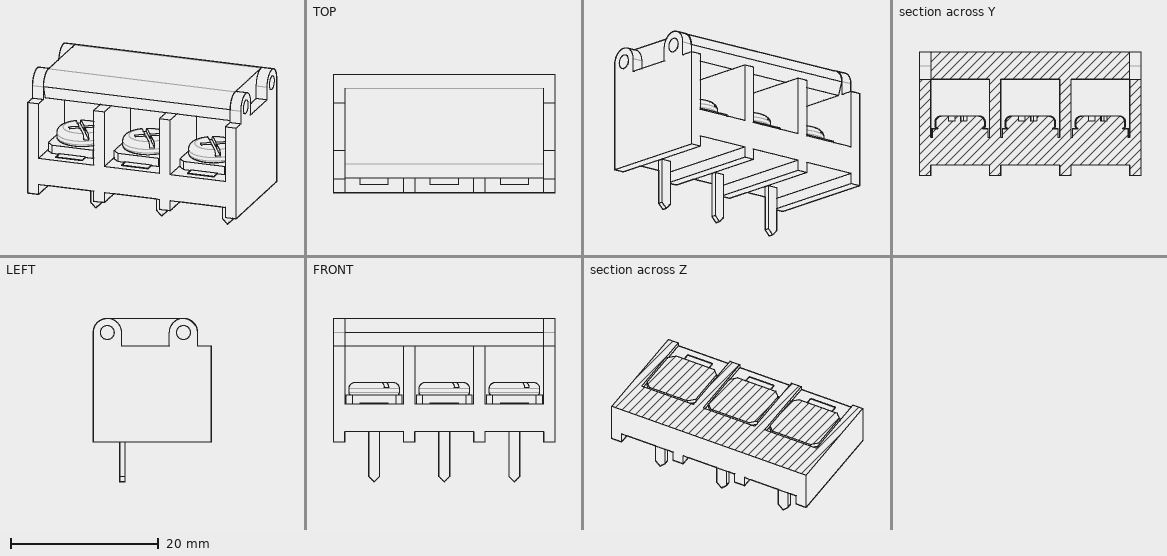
import cadquery as cq
import math


length = 30
depth = 16.0
shoulder_height = 13.02
overall_height = 16.75
pole_count = 3
wall_thickness = 1.55
pole_pitch = (length - wall_thickness) / pole_count
bay_width = pole_pitch - wall_thickness
foot_height = 1.45
floor_height = 5.2

lug_radius = 1.92
lug_hole_diameter = 1.9
lug_axis_z = overall_height - lug_radius
lug_shoulder = 1.85
front_lug_y = lug_shoulder + lug_radius
rear_lug_y = depth - lug_radius

cover_length = length - 2 * wall_thickness
cover_setback = 0.12
cover_front_y = lug_shoulder + cover_setback
cover_lip_undercut = 0.63

plate_size = 7.55
plate_thickness = 1.17
plate_corner = 0.85
plate_front_y = 2.52
plate_gap = (bay_width - plate_size) / 2
plate_center_y = plate_front_y + plate_size / 2
plate_top = floor_height + plate_thickness
bay_depth = plate_front_y + plate_size + plate_gap

tab_width = 3.8
tab_front_y = 1.15
tab_rise = 0.1

head_diameter = 6.85
head_height = 1.7
head_top_round = 0.85
head_bottom_round = 0.35
recess_angle = 30
recess_width = 0.7
recess_depth = 0.65
cross_slot_length = 3.55

pin_width = 1.5
pin_thickness = 0.72
pin_length = 5.37
pin_rear_gap = 3.6
pin_tip_height = pin_width / 2


def box(x0, x1, y0, y1, z0, z1):
    """Box given by its limits along each axis."""
    return cq.Workplane("XY").box(x1 - x0, y1 - y0, z1 - z0, centered=False).translate((x0, y0, z0))


def make_end_wall(x0):
    """End wall with two round-topped lugs."""
    notch_front_y = front_lug_y + lug_radius
    notch_rear_y = rear_lug_y - lug_radius
    return (
        cq.Workplane("YZ")
        .moveTo(0, 0)
        .lineTo(0, shoulder_height)
        .lineTo(lug_shoulder, shoulder_height)
        .lineTo(lug_shoulder, lug_axis_z)
        .threePointArc((front_lug_y, overall_height), (notch_front_y, lug_axis_z))
        .lineTo(notch_front_y, shoulder_height)
        .lineTo(notch_rear_y, shoulder_height)
        .lineTo(notch_rear_y, lug_axis_z)
        .threePointArc((rear_lug_y, overall_height), (depth, lug_axis_z))
        .lineTo(depth, 0)
        .close()
        .extrude(wall_thickness)
        .translate((x0, 0, 0))
    )


def make_lug_holes(x0):
    """Hinge holes, one wall thickness deep."""
    return (
        cq.Workplane("YZ", origin=(x0, 0, 0))
        .pushPoints([(front_lug_y, lug_axis_z), (rear_lug_y, lug_axis_z)])
        .circle(lug_hole_diameter / 2)
        .extrude(wall_thickness)
    )


def make_core():
    """Floor, rear body and round-edged cover, one constant section between the end walls."""
    diagonal = lug_radius * math.sqrt(0.5)
    nose_axis_y = cover_front_y + lug_radius
    return (
        cq.Workplane("YZ", origin=(wall_thickness, 0, 0))
        .moveTo(0, foot_height)
        .lineTo(0, floor_height)
        .lineTo(bay_depth, floor_height)
        .lineTo(bay_depth, shoulder_height)
        .lineTo(cover_front_y + cover_lip_undercut, shoulder_height)
        .lineTo(cover_front_y, lug_axis_z)
        .threePointArc(
            (nose_axis_y - diagonal, lug_axis_z + diagonal),
            (nose_axis_y, overall_height),
        )
        .lineTo(rear_lug_y, overall_height)
        .threePointArc(
            (rear_lug_y + diagonal, lug_axis_z + diagonal),
            (depth, lug_axis_z),
        )
        .lineTo(depth, foot_height)
        .close()
        .extrude(cover_length)
    )


def make_screw_head(center_x):
    """Round screw head with a through slot and a shorter crossing slot."""
    head = (
        cq.Workplane("XY")
        .circle(head_diameter / 2)
        .extrude(head_height)
        .faces(">Z").edges().fillet(head_top_round)
        .faces("<Z").edges().fillet(head_bottom_round)
    )
    slot_floor = cq.Workplane("XY", origin=(0, 0, head_height - recess_depth))
    through_slot = slot_floor.rect(recess_width, head_diameter).extrude(recess_depth)
    cross_slot = slot_floor.rect(cross_slot_length, recess_width).extrude(recess_depth)
    recess = through_slot.union(cross_slot).rotate((0, 0, 0), (0, 0, 1), recess_angle)
    return head.cut(recess).translate((center_x, plate_center_y, plate_top))


def make_clamp(center_x):
    """Clamping plate with cut corners, on a thin tab that shows in front of it."""
    plate = (
        cq.Workplane("XY", origin=(center_x, plate_center_y, floor_height))
        .rect(plate_size, plate_size)
        .extrude(plate_thickness)
        .edges("|Z").chamfer(plate_corner)
    )
    tab = box(
        center_x - tab_width / 2, center_x + tab_width / 2,
        tab_front_y, plate_center_y,
        floor_height, floor_height + tab_rise,
    )
    return plate.union(tab)


def make_pin(center_x):
    """Flat solder pin with a pointed tip."""
    half = pin_width / 2
    return (
        cq.Workplane("XZ", origin=(center_x, depth - pin_rear_gap, 0))
        .moveTo(-half, foot_height)
        .lineTo(-half, pin_tip_height - pin_length)
        .lineTo(0, -pin_length)
        .lineTo(half, pin_tip_height - pin_length)
        .lineTo(half, foot_height)
        .close()
        .extrude(pin_thickness)
    )


result = make_core()

for wall_x in (0, length - wall_thickness):
    result = result.union(make_end_wall(wall_x)).cut(make_lug_holes(wall_x))

for index in range(1, pole_count):
    partition_x = index * pole_pitch
    result = result.union(
        box(partition_x, partition_x + wall_thickness, 0, depth, 0, shoulder_height)
    )

for index in range(pole_count):
    pole_x = wall_thickness + bay_width / 2 + index * pole_pitch
    result = result.union(make_clamp(pole_x))
    result = result.union(make_screw_head(pole_x))
    result = result.union(make_pin(pole_x))